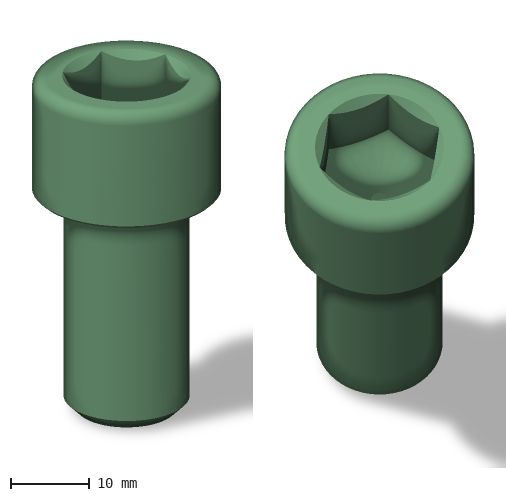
import cadquery as cq
import math

total_length = 46.0
shank_diameter = 16.0
head_diameter = 1.5 * shank_diameter
head_height = shank_diameter
shank_length = total_length - head_height

head_top_round = 1.6
head_bottom_chamfer = 0.4
underhead_fillet = 0.6
tip_chamfer = 1.6

socket_across_flats = 14.1
socket_corner_diameter = socket_across_flats / math.cos(math.radians(30))
socket_depth = 8.0
mouth_cone_angle = 45.0
floor_cone_angle = 30.0
floor_flat_diameter = 2.2


def cone_drop(large_diameter, small_diameter, slope):
    """Height of a cone between two diameters, for a slope from horizontal."""
    return (large_diameter - small_diameter) / 2 * math.tan(math.radians(slope))


def cone_frustum(top_z, top_diameter, bottom_diameter, slope):
    """Downward-narrowing cone on the Z axis."""
    height = cone_drop(top_diameter, bottom_diameter, slope)
    return cq.Workplane(
        cq.Solid.makeCone(
            bottom_diameter / 2, top_diameter / 2, height, pnt=cq.Vector(0, 0, top_z - height)
        )
    )


def make_body():
    """Shank and head, from the tip at Z = 0 to the head top."""
    shank = cq.Workplane("XY").circle(shank_diameter / 2).extrude(shank_length)
    shank = shank.faces("<Z").chamfer(tip_chamfer)

    head = cq.Workplane("XY").workplane(offset=shank_length)
    head = head.circle(head_diameter / 2).extrude(head_height)
    head = head.faces(">Z").edges().fillet(head_top_round)
    head = head.faces("<Z").edges().chamfer(head_bottom_chamfer)

    shank_radius = shank_diameter / 2
    arc_offset = underhead_fillet * (1 - math.sqrt(0.5))
    blend = (
        cq.Workplane("XZ")
        .moveTo(0, shank_length - underhead_fillet)
        .lineTo(shank_radius, shank_length - underhead_fillet)
        .threePointArc(
            (shank_radius + arc_offset, shank_length - arc_offset),
            (shank_radius + underhead_fillet, shank_length),
        )
        .lineTo(0, shank_length)
        .close()
        .revolve(360, (0, 0), (0, 1))
    )
    return shank.union(blend).union(head)


def make_socket():
    """Volume of the hexagonal socket, its mouth countersink and its conical floor."""
    floor_z = total_length - socket_depth
    floor_drop = cone_drop(socket_corner_diameter, floor_flat_diameter, floor_cone_angle)
    hexagon = (
        cq.Workplane("XY")
        .workplane(offset=floor_z - floor_drop)
        .polygon(6, socket_corner_diameter)
        .extrude(socket_depth + floor_drop)
    )
    floor = cone_frustum(floor_z, socket_corner_diameter, floor_flat_diameter, floor_cone_angle)
    bore = (
        cq.Workplane("XY").workplane(offset=floor_z).circle(socket_corner_diameter / 2).extrude(socket_depth)
    )
    mouth = cone_frustum(total_length, socket_corner_diameter, socket_across_flats, mouth_cone_angle)
    return hexagon.intersect(bore.union(floor)).union(mouth)


result = make_body().cut(make_socket())